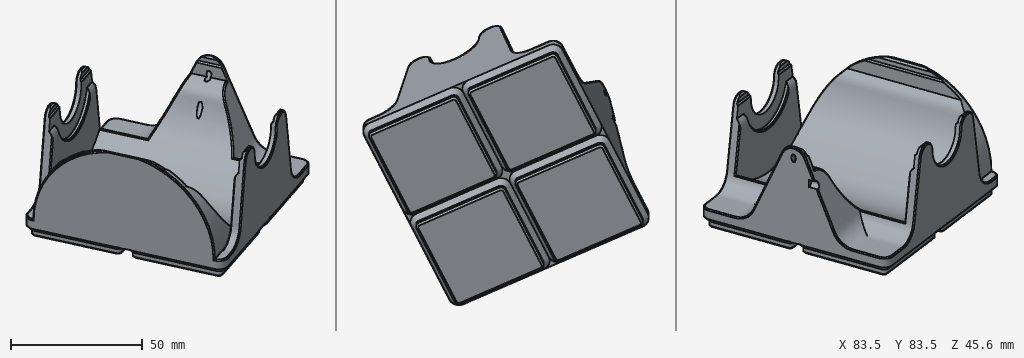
import cadquery as cq
import math

SIDE = 83.5
HALF = SIDE / 2
HEIGHT = 45.6
PLATE_TOP = 8.85
CORNER_R = 4.0
EDGE_CHAMFER = 0.5

FOOT_CELL = SIDE / 2
FOOT_LOWER_STEP = 0.8
FOOT_UPPER_STEP = 2.2
FOOT_STRAIGHT_TOP = 2.6
FOOT_HEIGHT = FOOT_STRAIGHT_TOP + FOOT_UPPER_STEP

AXIS_Y = -2.0
AXIS_Z = 40.75

FLARE_R = 8.0
HUMP_FLARE_R = 9.0
NOTCH_R = 10.1
PRONG_R = HEIGHT - AXIS_Z
END_SLOPE = 10.0
HUMP_TIP_R = 5.85
HUMP_SLOPE = 24.5

DISC_R = 37.75

END_WALL = 4.2
LIP_WALL = 2.4
TROUGH_R = 35.1
LEDGE_Z = 37.0
FRONT_CREST_Z = 38.1
ROLL_R = 8.0
BANK_TOP = 14.6
END_TAPER_Z = 33.1
RECESS_R = 16.0

LIP_LOWER_Z = 42.2
LIP_STEP = 0.7
LIP_UPPER_Z = 44.75
RIM_STEP = HEIGHT - LIP_UPPER_Z

THREAD_D = 2.0
THREAD_SLOPE = 50.0
THREAD_Y = 39.25
THREAD_Z = 38.1
THREAD_LENGTH = 41.75
SIDE_HOLE_D = 3.0
SIDE_HOLE_Y = 41.3
SIDE_HOLE_Z = 32.0
SIDE_HOLE_BOTTOM_X = -6.7


def polar(center, radius, degrees):
    angle = math.radians(degrees)
    return (center[0] + radius * math.cos(angle), center[1] + radius * math.sin(angle))


def mirrored(point, middle):
    return (2 * middle - point[0], point[1])


def rounded_slab(size, radius, bottom, height):
    slab = cq.Workplane("XY").workplane(offset=bottom).rect(size, size).extrude(height)
    return slab.edges("|Z").fillet(radius)


def foot():
    """One foot: chamfer, straight band, chamfer, all with rounded corners."""
    straight_size = FOOT_CELL - 2 * FOOT_UPPER_STEP
    straight = rounded_slab(straight_size, CORNER_R - FOOT_UPPER_STEP, 0, FOOT_STRAIGHT_TOP)
    straight = straight.faces("<Z").chamfer(FOOT_LOWER_STEP)
    flare = rounded_slab(FOOT_CELL, CORNER_R, FOOT_STRAIGHT_TOP, 2 * FOOT_UPPER_STEP)
    flare = flare.faces("<Z").chamfer(FOOT_UPPER_STEP)
    flare = flare.intersect(cq.Workplane("XY").box(SIDE, SIDE, 2 * FOOT_HEIGHT))
    return straight.union(flare)


def flared_outline(plane, middle, tip_offset, tip_r, slope, flare_r):
    """Outline with round tips whose sloping sides sweep out onto the plate."""
    tip = (middle + tip_offset, HEIGHT - tip_r)
    lean = math.radians(slope)
    sweep_z = PLATE_TOP + flare_r
    sweep_y = (
        tip[0]
        + (tip_r + flare_r) / math.cos(lean)
        + (tip[1] - sweep_z) * math.tan(lean)
    )
    sweep = (sweep_y, sweep_z)
    corner = (sweep_y, FOOT_HEIGHT)
    end = (sweep_y, PLATE_TOP)
    sweep_mid = polar(sweep, flare_r, (180 + slope + 270) / 2)
    lower = polar(sweep, flare_r, 180 + slope)
    upper = polar(tip, tip_r, slope)
    tip_mid = polar(tip, tip_r, (slope + 90) / 2)
    top = (tip[0], HEIGHT)

    outline = cq.Workplane(plane).moveTo(*corner).lineTo(*end)
    outline = outline.threePointArc(sweep_mid, lower).lineTo(*upper)
    if tip_offset:
        inner_mid = polar(tip, tip_r, 135)
        inner = (tip[0] - tip_r, tip[1])
        notch_bottom = (middle, tip[1] - (tip_offset - tip_r))
        outline = (
            outline.threePointArc(tip_mid, top)
            .threePointArc(inner_mid, inner)
            .threePointArc(notch_bottom, mirrored(inner, middle))
            .threePointArc(mirrored(inner_mid, middle), mirrored(top, middle))
            .threePointArc(mirrored(tip_mid, middle), mirrored(upper, middle))
        )
    else:
        outline = outline.threePointArc(top, mirrored(upper, middle))
    return (
        outline.lineTo(*mirrored(lower, middle))
        .threePointArc(mirrored(sweep_mid, middle), mirrored(end, middle))
        .lineTo(*mirrored(corner, middle))
        .close()
    )


def saddle_outline():
    return flared_outline("YZ", AXIS_Y, NOTCH_R + PRONG_R, PRONG_R, END_SLOPE, FLARE_R)


def end_wall():
    """Notched wall on the +X side, beveled on both faces."""
    wall = saddle_outline().extrude(END_WALL).faces("<X or >X").chamfer(EDGE_CHAMFER)
    wall = wall.translate((HALF - END_WALL, 0, 0))
    return wall.cut(recess())


def recess():
    """Shallow round recess with a beveled rim around the notch, on the wall's inner face."""
    base = cq.Workplane("YZ").center(AXIS_Y, AXIS_Z)
    floor = base.circle(RECESS_R).extrude(END_WALL - LIP_WALL)
    rim = (
        base.circle(RECESS_R + EDGE_CHAMFER)
        .workplane(offset=EDGE_CHAMFER).circle(RECESS_R).loft()
    )
    return rim.union(floor).translate((HALF - END_WALL, 0, 0))


def bank():
    """Rear side of the trough between the end walls, with a narrow flat top."""
    width = SIDE - 2 * END_WALL
    overlap = 2 * EDGE_CHAMFER
    rear_half = cq.Workplane("XY").box(SIDE, HALF, BANK_TOP, centered=(True, False, False))
    side = saddle_outline().extrude((width + overlap) / 2, both=True)
    return side.intersect(rear_half).cut(trough(width + overlap))


def hump():
    """Rear wall that flares into the plate, beveled at the back and along the trough."""
    outline = flared_outline("XZ", 0, 0, HUMP_TIP_R, HUMP_SLOPE, HUMP_FLARE_R)
    rear = outline.extrude(-HALF).faces(">Y").chamfer(EDGE_CHAMFER)
    rear = rear.cut(trough(SIDE - 2 * END_WALL))
    return rear.edges("%ELLIPSE").chamfer(EDGE_CHAMFER)


def disc():
    """Round front wall, cut flat at the rim height."""
    outline = (
        cq.Workplane("XZ").moveTo(-DISC_R, FOOT_HEIGHT).lineTo(-DISC_R, PLATE_TOP)
        .threePointArc((0, PLATE_TOP + DISC_R), (DISC_R, PLATE_TOP))
        .lineTo(DISC_R, FOOT_HEIGHT).close()
    )
    wall = outline.extrude(HALF).faces("<Y").chamfer(EDGE_CHAMFER)
    return wall.intersect(cq.Workplane("XY").box(SIDE, SIDE, 2 * HEIGHT))


def roll_points(crest_z):
    """Crest, middle and trough tangent point of a rear rim roll that levels off at crest_z."""
    drop = AXIS_Z - (crest_z - ROLL_R)
    offset = math.sqrt((TROUGH_R + ROLL_R) ** 2 - drop ** 2)
    center = (AXIS_Y + offset, AXIS_Z - drop)
    tangent_angle = math.degrees(math.atan2(drop, -offset))
    crest = (center[0], crest_z)
    middle = polar(center, ROLL_R, (tangent_angle + 90) / 2)
    tangent = polar(center, ROLL_R, tangent_angle)
    return crest, middle, tangent


def trough(width):
    """Spool space: a cylinder about the axis, rolled over at the rear and front rims."""
    crest, roll_mid, tangent = roll_points(LEDGE_Z)
    front_roll = [mirrored(p, AXIS_Y) for p in roll_points(FRONT_CREST_Z)]
    front_crest, front_roll_mid, front_tangent = front_roll
    space = (
        cq.Workplane("YZ").moveTo(crest[0], HEIGHT).lineTo(*crest)
        .threePointArc(roll_mid, tangent)
        .threePointArc((AXIS_Y, AXIS_Z - TROUGH_R), front_tangent)
        .threePointArc(front_roll_mid, front_crest)
        .lineTo(front_crest[0], HEIGHT).close()
        .extrude(width / 2, both=True)
    )
    inner = SIDE - 2 * LIP_WALL
    return space.intersect(cq.Workplane("XY").box(SIDE, inner, 2 * HEIGHT))


def lip_space():
    """Square opening above the ledge, widening in steps up to the rim."""
    lower = HALF - LIP_WALL
    upper = lower + LIP_STEP
    rim = upper + RIM_STEP
    half_profile = [
        (lower, LEDGE_Z), (lower, LIP_LOWER_Z), (upper, LIP_LOWER_Z + LIP_STEP),
        (upper, LIP_UPPER_Z), (rim, HEIGHT),
    ]
    profile = half_profile + [mirrored(p, 0) for p in reversed(half_profile)]
    along_y = cq.Workplane("XZ").polyline(profile).close().extrude(HALF, both=True)
    along_x = cq.Workplane("YZ").polyline(profile).close().extrude(HALF, both=True)
    wedge = end_wall_taper()
    return along_y.intersect(along_x).union(wedge).union(wedge.mirror("YZ"))


def end_wall_taper():
    """Space above the rounded shoulder where an end wall thins toward the lip."""
    inner = HALF - END_WALL
    outer = HALF - LIP_WALL
    rise = LEDGE_Z - END_TAPER_Z
    run = outer - inner
    shoulder_r = (rise ** 2 + run ** 2) / (2 * run)
    shoulder_angle = math.degrees(math.asin(rise / shoulder_r))
    shoulder_center = (inner + shoulder_r, END_TAPER_Z)
    shoulder_mid = polar(shoulder_center, shoulder_r, 180 - shoulder_angle / 2)
    return (
        cq.Workplane("XZ").moveTo(inner, END_TAPER_Z)
        .threePointArc(shoulder_mid, (outer, LEDGE_Z)).lineTo(inner, LEDGE_Z).close()
        .extrude(outer, both=True)
    )


def thread_hole():
    """Sloping hole that passes under the rolled rim of the hump."""
    lean = math.radians(THREAD_SLOPE)
    axis = cq.Vector(0, -math.cos(lean), -math.sin(lean))
    start = cq.Vector(0, THREAD_Y, THREAD_Z) - axis * (THREAD_LENGTH / 2)
    return cq.Workplane(cq.Solid.makeCylinder(THREAD_D / 2, THREAD_LENGTH, start, axis))


def side_hole():
    """Blind hole into the -X side of the hump, breaking out of its back."""
    return (
        cq.Workplane("YZ", origin=(-HALF, SIDE_HOLE_Y, SIDE_HOLE_Z))
        .circle(SIDE_HOLE_D / 2).extrude(HALF + SIDE_HOLE_BOTTOM_X)
    )


def build():
    plate = rounded_slab(SIDE, CORNER_R, FOOT_HEIGHT, PLATE_TOP - FOOT_HEIGHT)
    plate = plate.faces(">Z").chamfer(EDGE_CHAMFER)
    body = plate.union(disc()).cut(trough(SIDE - 2 * END_WALL))
    body = body.union(bank()).union(hump())
    body = body.union(end_wall()).union(end_wall().mirror("YZ"))
    body = body.cut(lip_space()).cut(thread_hole()).cut(side_hole())
    for x in (-1, 1):
        for y in (-1, 1):
            body = body.union(foot().translate((x * FOOT_CELL / 2, y * FOOT_CELL / 2, 0)))
    return body


result = build()